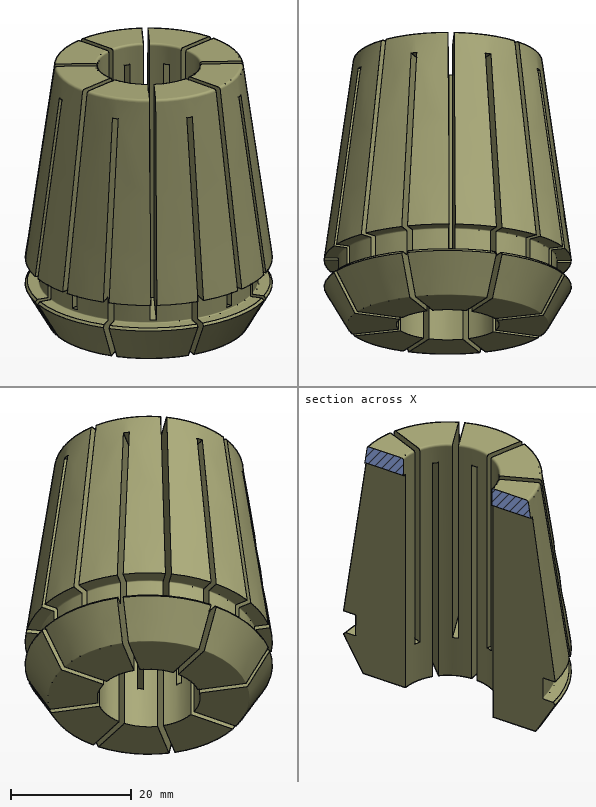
import cadquery as cq
import math

height = 46.0
max_diameter = 41.0
bore_diameter = 17.0
bore_round = 0.4

cone_angle = 8.0
cone_base_z = 11.2
top_round = 0.5

neck_diameter = 36.25
neck_corner_round = 0.2
flange_top_z = 7.0
flange_edge_z = 6.6
flange_chamfer = 0.35
nose_angle = 30.0
nose_tip_round = 0.15

slits_per_end = 8
slit_width = 1.0
lower_slit_top_z = 42.5
upper_slit_floor_z = 7.55

max_radius = max_diameter / 2
neck_radius = neck_diameter / 2
slit_pitch = 360.0 / slits_per_end
smallest_circles = cq.selectors.RadiusNthSelector(0)


def inward_run(rise, angle):
    """Change of radius of a cone over a rise, for a given angle to the axis."""
    return rise * math.tan(math.radians(angle))


def solid_blank():
    """Revolved body without the bore: nose, flange, neck groove and clamping cone."""
    nose_tip_radius = max_radius - inward_run(flange_edge_z, nose_angle)
    cone_top_radius = max_radius - inward_run(height - cone_base_z, cone_angle)
    half_outline = [
        (0, 0),
        (nose_tip_radius, 0),
        (max_radius, flange_edge_z),
        (max_radius - flange_chamfer, flange_top_z),
        (neck_radius, flange_top_z),
        (neck_radius, cone_base_z),
        (max_radius, cone_base_z),
        (cone_top_radius, height),
        (0, height),
    ]
    return cq.Workplane("XZ").polyline(half_outline).close().revolve(360, (0, 0), (0, 1))


def round_outside(body):
    """Round the top rim, the nose tip and both inner corners of the neck groove."""
    body = body.faces(">Z").edges().fillet(top_round)
    body = body.faces("<Z").edges().fillet(nose_tip_round)
    groove_zone = cq.selectors.BoxSelector(
        (-max_radius, -max_radius, flange_top_z - neck_corner_round),
        (max_radius, max_radius, cone_base_z + neck_corner_round),
    )
    return body.edges(groove_zone).edges(smallest_circles).fillet(neck_corner_round)


def bore_through(body):
    """Cut the clamping bore and round its top rim."""
    bore = cq.Workplane("XY").circle(bore_diameter / 2).extrude(height)
    return body.cut(bore).faces(">Z").edges(smallest_circles).fillet(bore_round)


def radial_slits(bottom_z, top_z, first_angle):
    """Ring of equal slits that run outward from the axis between two heights."""
    slit = cq.Workplane("XY", origin=(0, 0, bottom_z)).box(
        max_diameter, slit_width, top_z - bottom_z, centered=(False, True, False)
    )
    slits = cq.Workplane("XY")
    for index in range(slits_per_end):
        angle = first_angle + index * slit_pitch
        slits = slits.add(slit.rotate((0, 0, 0), (0, 0, 1), angle))
    return slits.combine()


collet = bore_through(round_outside(solid_blank()))
lower_slits = radial_slits(0, lower_slit_top_z, 0)
upper_slits = radial_slits(upper_slit_floor_z, height, slit_pitch / 2)

result = collet.cut(lower_slits).cut(upper_slits).solids()